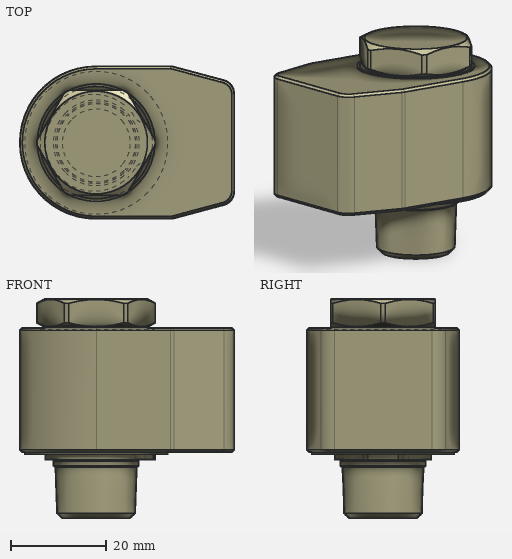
import cadquery as cq
import math

body_radius = 16.0
body_height = 26.1
nose_x = 29.0
taper_start_x = 15.9
taper_angle = math.radians(15)
side_corner_radius = 3.0
body_chamfer = 0.55

head_gap = 0.15
head_height = 5.95
across_flats = 22.0
corner_diameter = 24.85
bevel_diameter = 21.55
bevel_height = 0.9

groove_outer_radius = 12.35
groove_round_radius = 0.28

pad_diameter = 30.0
pad_height = 0.45
washer_thickness = 1.1
washer_radius = 10.15
washer_offset = -0.5
tab_half_width = 4.1
tab_corner_radius = 2.5
tab_corner_x = 10.1
tab_end_radius = 12.4

neck_diameter = 16.5
neck_height = 0.28
collar_diameter = 18.0
collar_height = 0.95
collar_bevel_height = 0.3
shank_top_diameter = 17.1
shank_bottom_diameter = 16.4
shank_length = 9.6
end_chamfer = 1.1


def make_body():
    nose_half_width = body_radius - (nose_x - taper_start_x) * math.tan(taper_angle)
    outline = (
        cq.Workplane("XY")
        .moveTo(0, body_radius)
        .lineTo(taper_start_x, body_radius)
        .lineTo(nose_x, nose_half_width)
        .lineTo(nose_x, -nose_half_width)
        .lineTo(taper_start_x, -body_radius)
        .lineTo(0, -body_radius)
        .threePointArc((-body_radius, 0), (0, body_radius))
        .close()
        .extrude(body_height)
    )
    side_corners = cq.selectors.BoxSelector(
        (taper_start_x / 2, -body_radius - 0.45, 0), (nose_x + 0.45, body_radius + 0.45, body_height)
    )
    rounded = outline.edges("|Z").edges(side_corners).fillet(side_corner_radius)
    return rounded.faces("<Z or >Z").edges().chamfer(body_chamfer)


def make_head():
    bottom = body_height + head_gap
    across_corners = across_flats / math.cos(math.pi / 6)
    hexagon = cq.Workplane("XY").workplane(offset=bottom).polygon(6, across_corners).extrude(head_height)
    bevel_width = (corner_diameter - bevel_diameter) / 2
    envelope = (
        cq.Workplane("XY")
        .workplane(offset=bottom)
        .circle(corner_diameter / 2)
        .extrude(head_height)
        .faces("<Z or >Z")
        .chamfer(bevel_height, bevel_width)
    )
    return hexagon.intersect(envelope)


def make_seal_groove():
    return (
        cq.Workplane("XZ")
        .moveTo(groove_outer_radius - groove_round_radius, body_height)
        .circle(groove_round_radius)
        .revolve(360, (0, 0, 0), (0, 1, 0))
    )


def make_head_spacer():
    return cq.Workplane("XY").workplane(offset=body_height).circle(bevel_diameter / 2).extrude(head_gap)


def make_tab_washer():
    disc = cq.Workplane("XY").center(washer_offset, 0).circle(washer_radius).extrude(-washer_thickness)
    tab_length = tab_corner_x + tab_corner_radius
    tab = (
        cq.Workplane("XY")
        .center(tab_length / 2, 0)
        .rect(tab_length, 2 * tab_half_width)
        .extrude(-washer_thickness)
        .edges("|Z and >X")
        .fillet(tab_corner_radius)
    )
    tab = tab.intersect(cq.Workplane("XY").circle(tab_end_radius).extrude(-washer_thickness))
    root_x = washer_offset + math.sqrt(washer_radius**2 - tab_half_width**2)
    root_corners = cq.selectors.BoxSelector(
        (root_x - 0.25, -tab_half_width - 0.25, -washer_thickness), (root_x + 0.25, tab_half_width + 0.25, 0)
    )
    washer = disc.union(tab).edges("|Z").edges(root_corners).fillet(tab_corner_radius)
    return washer.translate((0, 0, -pad_height))


def make_stem():
    neck_bottom = -pad_height - washer_thickness - neck_height
    collar_bottom = neck_bottom - collar_height
    shank_top = collar_bottom - collar_bevel_height
    shank_bottom = shank_top - shank_length
    profile = [
        (0, 0),
        (neck_diameter / 2, 0),
        (neck_diameter / 2, neck_bottom),
        (collar_diameter / 2, neck_bottom),
        (collar_diameter / 2, collar_bottom),
        (shank_top_diameter / 2, shank_top),
        (shank_bottom_diameter / 2, shank_bottom),
        (shank_bottom_diameter / 2 - end_chamfer, shank_bottom - end_chamfer),
        (0, shank_bottom - end_chamfer),
    ]
    return cq.Workplane("XZ").polyline(profile).close().revolve(360, (0, 0, 0), (0, 1, 0))


pad = cq.Workplane("XY").circle(pad_diameter / 2).extrude(-pad_height)

result = (
    make_body()
    .cut(make_seal_groove())
    .union(make_head_spacer())
    .union(make_head())
    .union(pad)
    .union(make_tab_washer())
    .union(make_stem())
)